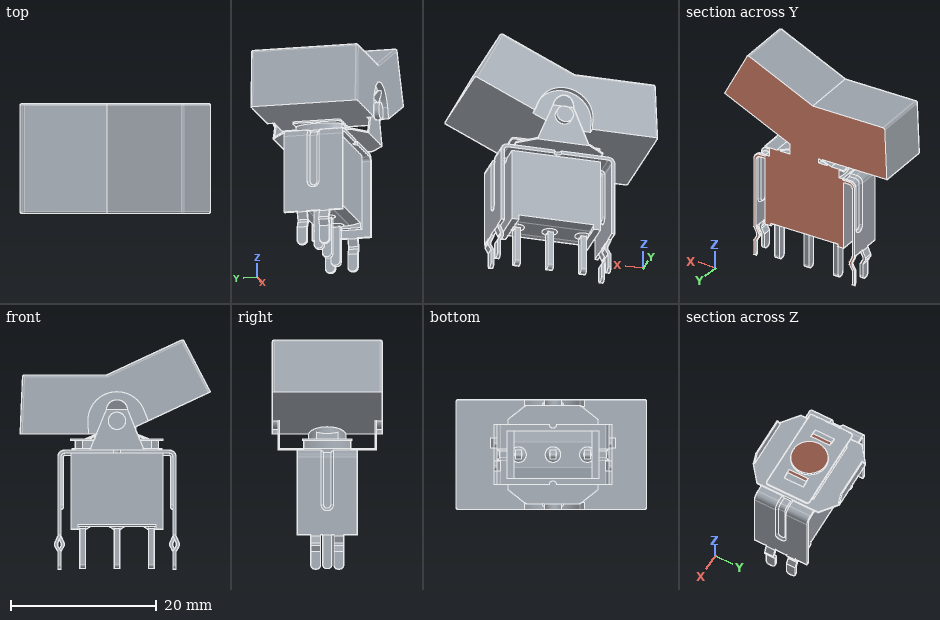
import cadquery as cq
import math


OVERLAP = 0.1

ROCKER_WIDTH = 15.11
WING_TILT = 12.5
ROCKER_TILT = 12.5
WING_HEIGHT = 8.15
WING_TOP_LENGTH = 11.575
END_DRAFT = 2.4
VALLEY_HEIGHT = 6.47
CAP_FILLET = 0.3
PIVOT_Z = 4.0
PIN_DIAMETER = 2.38

SHEET = 0.2
EAR_OUTER_Y = 6.77
EAR_INNER_Y = EAR_OUTER_Y - SHEET
EAR_BASE_HALF = 3.72
EAR_TOP_HALF = 1.47
EAR_TOP_Z = 5.54
STIRRUP_HALF_X = 6.2
STIRRUP_SHOULDER_Y = 4.8
FLARE_HEIGHT = 1.35
FLARE_REACH = 0.75
POCKET_RADIUS = 4.0
POCKET_DRAFT = 9.0

COLLAR_DIAMETER = 11.46
COLLAR_HALF_Y = 3.26
COLLAR_TOP = 1.3
FLANGE_TOP = 1.54
FLANGE_LENGTH = 12.7
FLANGE_WIDTH = 6.74
FLANGE_FILLET = 0.4
BUSHING_DIAMETER = 5.2
LEAF_WIDTH = 3.0
LEAF_START_X = 4.39
LEAF_SLOPE = 22.0
LEAF_THICKNESS = 0.22

BRACKET_HALF_X = 8.13
BRACKET_WIDTH = 8.26
BRACKET_THICKNESS = 0.45
BEND_RADIUS = 0.95
LEG_BOTTOM = -11.67
NOTCH_RADIUS = 0.5

BEAD_DEPTH = 0.33
BEAD_END_Z = -7.5
BEAD_MOUTH_HALF = 0.84
BEAD_FLOOR_HALF = 0.5

TAB_TIP = -16.38
TAB_WIDTH = 1.37
TAB_Y = 1.59
TAB_TIP_RADIUS = 0.6
KINK_START = -11.8
KINK_OFFSET = 0.45
KINK_CREST_TOP = -12.8
KINK_CREST_BOTTOM = -13.15
KINK_END = -13.95

BODY_LENGTH = 12.66
BODY_BOTTOM = -10.9
RECESS_LENGTH = 10.72
RECESS_CEILING = -10.23
POTTING_BOTTOM = -10.52
POTTING_FLAT_WIDTH = 3.5
MENISCUS_TOP_RADIUS = 1.5
MENISCUS_TIP_RADIUS = 0.5
TERMINAL_PITCH = 4.72
TERMINAL_THICKNESS = 0.8
TERMINAL_WIDTH = 1.26
TERMINAL_TIP = -16.3
TERMINAL_TIP_RADIUS = 0.55


def block(length, width, z_low, z_high):
    """Box centred on the Z axis between two heights."""
    return cq.Workplane("XY").workplane(offset=z_low).rect(length, width).extrude(z_high - z_low)


def extrude_y(points, width, y_centre=0):
    """Prism along Y from an outline of (x, z) points."""
    outline = cq.Workplane("XZ", origin=(0, y_centre, 0)).polyline(points).close()
    return outline.extrude(width / 2, both=True)


def both_ends(part):
    return part.union(part.mirror("YZ"))


def both_sides(part):
    return part.union(part.mirror("XZ"))


def tilt_about_pivot(part):
    """Move a part from the cap's own frame to its resting place."""
    return part.rotate((0, 0, 0), (0, -1, 0), ROCKER_TILT).translate((0, 0, PIVOT_Z))


def rocker_cap():
    tilt = math.radians(WING_TILT)
    base_length = WING_TOP_LENGTH + WING_HEIGHT * math.tan(math.radians(END_DRAFT))

    def wing_point(along, below):
        x = along * math.cos(tilt) + below * math.sin(tilt)
        z = VALLEY_HEIGHT + along * math.sin(tilt) - below * math.cos(tilt)
        return x, z

    top_x, top_z = wing_point(WING_TOP_LENGTH, 0)
    base_x, base_z = wing_point(base_length, WING_HEIGHT)
    valley_base_z = VALLEY_HEIGHT - WING_HEIGHT / math.cos(tilt)
    outline = [
        (0, VALLEY_HEIGHT),
        (top_x, top_z),
        (base_x, base_z),
        (0, valley_base_z),
        (-base_x, base_z),
        (-top_x, top_z),
    ]
    cap = extrude_y(outline, ROCKER_WIDTH)
    mid_x = (top_x + base_x) / 2
    half = ROCKER_WIDTH / 2
    rounded = []
    for edge in cap.edges().vals():
        centre = edge.Center()
        on_top_ridge = math.isclose(centre.z, top_z, abs_tol=0.01)
        on_end_corner = math.isclose(abs(centre.x), mid_x, abs_tol=0.01)
        on_top_side = abs(centre.y) > half - 0.01 and math.isclose(
            centre.z, (top_z + VALLEY_HEIGHT) / 2, abs_tol=0.01
        )
        if on_top_ridge or on_end_corner or on_top_side:
            rounded.append(edge)
    cap = cap.newObject(rounded).fillet(CAP_FILLET)
    return tilt_about_pivot(cap.cut(both_sides(ear_pocket())))


def ear_pocket():
    """Arched recess in the cap's side wall, open downward, that holds an ear."""
    draft = math.radians(POCKET_DRAFT)
    side_x = POCKET_RADIUS * math.cos(draft)
    side_z = POCKET_RADIUS * math.sin(draft)
    foot_z = -POCKET_RADIUS
    foot_x = side_x + (side_z - foot_z) * math.tan(draft)
    outline = (
        cq.Workplane("XZ", origin=(0, -EAR_INNER_Y, 0))
        .moveTo(-foot_x, foot_z)
        .lineTo(-side_x, side_z)
        .threePointArc((0, POCKET_RADIUS), (side_x, side_z))
        .lineTo(foot_x, foot_z)
        .close()
    )
    return outline.extrude(ROCKER_WIDTH)


def ear():
    """Tapered ear with its pivot pin and outward-flared lead-in tab."""
    outline = [
        (-EAR_BASE_HALF, 0),
        (EAR_BASE_HALF, 0),
        (EAR_TOP_HALF, EAR_TOP_Z),
        (-EAR_TOP_HALF, EAR_TOP_Z),
    ]
    plate = extrude_y(outline, SHEET, -EAR_OUTER_Y + SHEET / 2)
    pin = (
        cq.Workplane("XZ", origin=(0, -EAR_INNER_Y, PIVOT_Z))
        .circle(PIN_DIAMETER / 2)
        .extrude(ROCKER_WIDTH / 2 - EAR_INNER_Y)
    )
    flare_top = EAR_TOP_Z + FLARE_HEIGHT
    sheet_strip = (
        cq.Workplane("YZ")
        .polyline([
            (-EAR_OUTER_Y, EAR_TOP_Z),
            (-EAR_INNER_Y, EAR_TOP_Z),
            (-EAR_INNER_Y - FLARE_REACH, flare_top),
            (-EAR_OUTER_Y - FLARE_REACH, flare_top),
        ])
        .close()
        .extrude(EAR_TOP_HALF, both=True)
    )
    dome = (
        cq.Workplane("XZ")
        .moveTo(-EAR_TOP_HALF, EAR_TOP_Z)
        .threePointArc((0, flare_top), (EAR_TOP_HALF, EAR_TOP_Z))
        .close()
        .extrude(ROCKER_WIDTH)
    )
    return plate.union(pin).union(sheet_strip.intersect(dome))


def stirrup():
    corners = [
        (EAR_BASE_HALF, -EAR_OUTER_Y),
        (STIRRUP_HALF_X, -STIRRUP_SHOULDER_Y),
        (STIRRUP_HALF_X, STIRRUP_SHOULDER_Y),
        (EAR_BASE_HALF, EAR_OUTER_Y),
    ]
    opposite = [(-x, -y) for x, y in corners]
    base = cq.Workplane("XY").polyline(corners + opposite).close().extrude(SHEET)
    return base.union(both_sides(ear()))


def collar():
    """Flat-sided round collar under a thin flange, with the bushing and its leaves."""
    drum = cq.Workplane("XY").circle(COLLAR_DIAMETER / 2).extrude(COLLAR_TOP)
    drum = drum.intersect(block(COLLAR_DIAMETER, 2 * COLLAR_HALF_Y, 0, COLLAR_TOP))
    flange = block(FLANGE_LENGTH, FLANGE_WIDTH, COLLAR_TOP, FLANGE_TOP)
    flange = flange.edges("|Z").fillet(FLANGE_FILLET)
    bushing = (
        cq.Workplane("XY")
        .workplane(offset=COLLAR_TOP)
        .circle(BUSHING_DIAMETER / 2)
        .extrude(PIVOT_Z - COLLAR_TOP)
    )
    return drum.union(flange).union(bushing).union(both_ends(leaf()))


def leaf():
    """Thin strip sloping from the flange up to the bushing."""
    slope = math.radians(LEAF_SLOPE)
    inner_x = BUSHING_DIAMETER / 4
    rise = (LEAF_START_X - inner_x) * math.tan(slope)
    drop = LEAF_THICKNESS / math.cos(slope)
    outline = [
        (LEAF_START_X, FLANGE_TOP),
        (inner_x, FLANGE_TOP + rise),
        (inner_x, FLANGE_TOP + rise - drop),
        (LEAF_START_X, FLANGE_TOP - drop),
    ]
    return extrude_y(outline, LEAF_WIDTH)


def bracket():
    def arch(inset, radius):
        half_x = BRACKET_HALF_X - inset
        solid = block(2 * half_x, BRACKET_WIDTH, LEG_BOTTOM, -inset)
        return solid.edges("|Y and >Z").fillet(radius)

    shell = arch(0, BEND_RADIUS).cut(arch(BRACKET_THICKNESS, BEND_RADIUS - BRACKET_THICKNESS))
    notches = (
        cq.Workplane("XY")
        .pushPoints([(0, BRACKET_WIDTH / 2), (0, -BRACKET_WIDTH / 2)])
        .circle(NOTCH_RADIUS)
        .extrude(-BRACKET_THICKNESS)
    )
    ridge_height = BRACKET_THICKNESS + BEAD_DEPTH
    ridge = bead(BEAD_DEPTH, ridge_height)
    groove = bead(0, BEAD_DEPTH)
    return shell.cut(notches).union(both_ends(ridge)).cut(both_ends(groove)).union(both_ends(tabs()))


def bead(depth_start, depth_end):
    """Tapered strip at a depth below the bracket's outer skin, down the +X leg."""
    face_x = BRACKET_HALF_X
    arc_middle = BEND_RADIUS * (1 - math.sqrt(0.5))
    path = (
        cq.Workplane("XZ")
        .moveTo(face_x, BEAD_END_Z)
        .lineTo(face_x, -BEND_RADIUS)
        .threePointArc((face_x - arc_middle, -arc_middle), (face_x - BEND_RADIUS, 0))
        .lineTo(STIRRUP_HALF_X, 0)
    )
    start_x = face_x - depth_start
    end_x = face_x - depth_end
    strip = (
        cq.Workplane("XY", origin=(0, 0, BEAD_END_Z))
        .polyline([
            (start_x, -BEAD_MOUTH_HALF),
            (start_x, BEAD_MOUTH_HALF),
            (end_x, BEAD_FLOOR_HALF),
            (end_x, -BEAD_FLOOR_HALF),
        ])
        .close()
        .sweep(path)
    )
    round_end = cq.Workplane(
        cq.Solid.makeCone(
            BEAD_MOUTH_HALF,
            BEAD_FLOOR_HALF,
            depth_end - depth_start,
            cq.Vector(start_x, 0, BEAD_END_Z),
            cq.Vector(-1, 0, 0),
        )
    )
    return strip.union(round_end)


def tabs():
    """Pair of tabs on the +X leg, kinked in opposite directions."""
    return tab(-TAB_Y, KINK_OFFSET).union(tab(TAB_Y, -KINK_OFFSET))


def tab(y_centre, kink):
    stations = [
        (0, LEG_BOTTOM + OVERLAP),
        (0, KINK_START),
        (kink, KINK_CREST_TOP),
        (kink, KINK_CREST_BOTTOM),
        (0, KINK_END),
        (0, TAB_TIP),
    ]
    outer = [(BRACKET_HALF_X + shift, z) for shift, z in stations]
    inner = [(x - BRACKET_THICKNESS, z) for x, z in reversed(outer)]
    strip = extrude_y(outer + inner, TAB_WIDTH, y_centre)
    return strip.faces("<Z").edges("|X").fillet(TAB_TIP_RADIUS)


def body():
    width = 2 * COLLAR_HALF_Y
    case = block(BODY_LENGTH, width, BODY_BOTTOM, -BRACKET_THICKNESS)
    case = case.cut(block(RECESS_LENGTH, width, BODY_BOTTOM, RECESS_CEILING))
    case = case.union(potting())
    for column in (-1, 0, 1):
        case = case.union(terminal().translate((column * TERMINAL_PITCH, 0, 0)))
    return case


def potting():
    """Shallow sealing layer under the recess ceiling, thinning toward the long sides."""
    outline = [
        (-COLLAR_HALF_Y, RECESS_CEILING),
        (COLLAR_HALF_Y, RECESS_CEILING),
        (POTTING_FLAT_WIDTH / 2, POTTING_BOTTOM),
        (-POTTING_FLAT_WIDTH / 2, POTTING_BOTTOM),
    ]
    return cq.Workplane("YZ").polyline(outline).close().extrude(RECESS_LENGTH / 2, both=True)


def terminal():
    """Flat pin with a rounded tip and a cone of potting around its root."""
    pin = block(TERMINAL_THICKNESS, TERMINAL_WIDTH, TERMINAL_TIP, RECESS_CEILING + OVERLAP)
    pin = pin.faces("<Z").edges("|X").fillet(TERMINAL_TIP_RADIUS)
    meniscus = cq.Workplane(
        cq.Solid.makeCone(
            MENISCUS_TOP_RADIUS,
            MENISCUS_TIP_RADIUS,
            RECESS_CEILING - BODY_BOTTOM,
            cq.Vector(0, 0, RECESS_CEILING),
            cq.Vector(0, 0, -1),
        )
    )
    return pin.union(meniscus)


result = body().union(bracket()).union(stirrup()).union(collar()).union(rocker_cap())